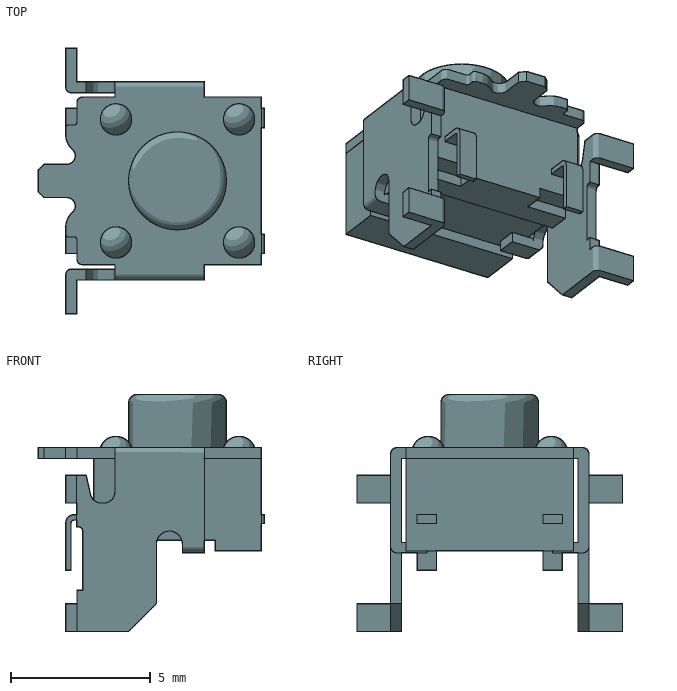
import cadquery as cq
import math


HOUSING_SIZE = 6.0
HOUSING_HEIGHT = 3.3
HALF_HOUSING = HOUSING_SIZE / 2

CHANNEL_HEIGHT = 0.38
CHANNEL_HALF_LENGTH = 1.34
CORNER_NOTCH_DEPTH = 0.8
CORNER_NOTCH_START_Y = 1.42

BUTTON_DIAMETER = 3.5
BUTTON_TOP = 5.6
BUTTON_ROUNDING = 0.3
RIVET_DIAMETER = 1.12
RIVET_HEAD_HEIGHT = 0.4
RIVET_SPACING = 4.4

TERMINAL_WIDTH = 0.7
TERMINAL_THICKNESS = 0.2
TERMINAL_CENTER_Y = 2.25
TERMINAL_TOP = 1.3
TERMINAL_TIP = -0.69
TERMINAL_BEND_RADIUS = 0.3
STUB_LENGTH = 0.1
STUB_HEIGHT = 0.32

SHEET = 0.4
PLATE_TOP = HOUSING_HEIGHT + SHEET
FRONT_X = -4.0

TAB_TIP_X = -4.98
TAB_HALF_WIDTH = 0.6
TAB_CHAMFER = 0.21
RELIEF_RADIUS = 0.3
RELIEF_CENTER_X = -3.96
WING_RADIUS = 0.7
WING_SIDE_Y = 2.0
WING_CORNER_RADIUS = 0.1
PLATE_EDGE_X = -3.6
PLATE_CORNER_RADIUS = 0.2

LEG_INNER_Y = 3.15
LEG_OUTER_Y = LEG_INNER_Y + SHEET
FLANGE_START_X = -2.24
FLANGE_END_X = 0.96
BEND_RADIUS = 0.24

LEG_BOTTOM = -2.88
LEG_FRONT_X = -3.395
UPPER_PAD_X = -3.61
LOWER_PAD_X = FRONT_X + SHEET
UPPER_PAD_BOTTOM = 0.86
UPPER_PAD_FILLET = 0.15
LOWER_PAD_TOP = -1.4
FOOT_HEIGHT = 1.0
UPPER_FOOT_TOP = 2.71
FOOT_TIP_Y = 4.75
FOOT_BEND_RADIUS = SHEET / 2

SLOT_TOP_X = -3.265
SLOT_BOTTOM_X = -3.034
SLOT_BOTTOM = UPPER_FOOT_TOP - FOOT_HEIGHT
SLOT_RADIUS = 0.4

LEG_REAR_X = -0.75
LEG_CHAMFER = 1.0
ARCH_RADIUS = 0.46
ARCH_CENTER_Z = 0.25

TONGUE_BOTTOM = -0.07
TONGUE_THICKNESS = 0.38
TONGUE_END_Y = TERMINAL_CENTER_Y


def box(x_range, y_range, z_range):
    """Box between two limits along each axis."""
    sizes = [high - low for low, high in (x_range, y_range, z_range)]
    return cq.Workplane("XY").box(*sizes, centered=False).translate((x_range[0], y_range[0], z_range[0]))


def both_sides(half):
    """Join a +Y half with its mirror image."""
    return half.union(half.mirror("XZ"))


def bracket_plate():
    """+Y half of the top plate, widened to the leg along the flange."""
    shoulder_center_x = FRONT_X + WING_RADIUS
    relief_center_y = TAB_HALF_WIDTH + RELIEF_RADIUS
    center_distance = RELIEF_RADIUS + WING_RADIUS
    tangent_angle = math.acos((shoulder_center_x - RELIEF_CENTER_X) / center_distance)
    tangent_x = RELIEF_CENTER_X + RELIEF_RADIUS * math.cos(tangent_angle)
    tangent_y = relief_center_y + RELIEF_RADIUS * math.sin(tangent_angle)
    shoulder_y = relief_center_y + center_distance * math.sin(tangent_angle)
    plate = (
        cq.Workplane("XY", origin=(0, 0, HOUSING_HEIGHT))
        .moveTo(HALF_HOUSING, 0)
        .lineTo(TAB_TIP_X, 0)
        .lineTo(TAB_TIP_X, TAB_HALF_WIDTH - TAB_CHAMFER)
        .lineTo(TAB_TIP_X + TAB_CHAMFER, TAB_HALF_WIDTH)
        .lineTo(RELIEF_CENTER_X, TAB_HALF_WIDTH)
        .tangentArcPoint((tangent_x, tangent_y), relative=False)
        .tangentArcPoint((FRONT_X, shoulder_y), relative=False)
        .lineTo(FRONT_X, WING_SIDE_Y)
        .lineTo(PLATE_EDGE_X, WING_SIDE_Y)
        .lineTo(PLATE_EDGE_X, HALF_HOUSING)
        .lineTo(FLANGE_START_X, HALF_HOUSING)
        .lineTo(FLANGE_START_X, LEG_OUTER_Y)
        .lineTo(FLANGE_END_X, LEG_OUTER_Y)
        .lineTo(FLANGE_END_X, HALF_HOUSING)
        .lineTo(HALF_HOUSING, HALF_HOUSING)
        .close()
        .extrude(SHEET)
    )
    for corner_x in (FRONT_X, PLATE_EDGE_X):
        wing_corner = cq.selectors.NearestToPointSelector((corner_x, WING_SIDE_Y, PLATE_TOP - SHEET / 2))
        plate = plate.edges(wing_corner).fillet(WING_CORNER_RADIUS)
    plate_corner = cq.selectors.NearestToPointSelector((PLATE_EDGE_X, HALF_HOUSING, PLATE_TOP - SHEET / 2))
    return plate.edges(plate_corner).fillet(PLATE_CORNER_RADIUS)


def bracket_leg():
    """+Y side leg as a flat sheet, before the feet and the tongue are added."""
    arch_end_x = LEG_REAR_X + 2 * ARCH_RADIUS
    leg = (
        cq.Workplane("XZ", origin=(0, LEG_OUTER_Y, 0))
        .moveTo(FLANGE_START_X, PLATE_TOP)
        .lineTo(FLANGE_START_X, SLOT_BOTTOM)
        .lineTo(SLOT_BOTTOM_X, SLOT_BOTTOM)
        .lineTo(SLOT_TOP_X, UPPER_FOOT_TOP)
        .lineTo(UPPER_PAD_X, UPPER_FOOT_TOP)
        .lineTo(UPPER_PAD_X, UPPER_PAD_BOTTOM)
        .lineTo(LEG_FRONT_X, UPPER_PAD_BOTTOM)
        .lineTo(LEG_FRONT_X, LOWER_PAD_TOP)
        .lineTo(LOWER_PAD_X, LOWER_PAD_TOP)
        .lineTo(LOWER_PAD_X, LEG_BOTTOM)
        .lineTo(LEG_REAR_X - LEG_CHAMFER, LEG_BOTTOM)
        .lineTo(LEG_REAR_X, LEG_BOTTOM + LEG_CHAMFER)
        .lineTo(LEG_REAR_X, ARCH_CENTER_Z)
        .threePointArc((LEG_REAR_X + ARCH_RADIUS, ARCH_CENTER_Z + ARCH_RADIUS), (arch_end_x, ARCH_CENTER_Z))
        .lineTo(arch_end_x, TONGUE_BOTTOM)
        .lineTo(FLANGE_END_X, TONGUE_BOTTOM)
        .lineTo(FLANGE_END_X, PLATE_TOP)
        .close()
        .extrude(SHEET)
    )
    leg_middle_y = LEG_OUTER_Y - SHEET / 2
    for corner_x in (FLANGE_START_X, SLOT_BOTTOM_X):
        slot_corner = cq.selectors.NearestToPointSelector((corner_x, leg_middle_y, SLOT_BOTTOM))
        leg = leg.edges(slot_corner).fillet(SLOT_RADIUS)
    pad_corner = cq.selectors.NearestToPointSelector((LEG_FRONT_X, leg_middle_y, UPPER_PAD_BOTTOM))
    return leg.edges(pad_corner).fillet(UPPER_PAD_FILLET)


def bracket_tongue():
    """Lip bent inward under the housing at the foot of the flange."""
    return box(
        (LEG_REAR_X + 2 * ARCH_RADIUS, FLANGE_END_X),
        (TONGUE_END_Y, LEG_OUTER_Y),
        (TONGUE_BOTTOM, TONGUE_BOTTOM + TONGUE_THICKNESS),
    )


def solder_foot(back_x, top):
    """Foot bent outward from the leg, rounded on the outside of its bend."""
    foot = box((FRONT_X, back_x), (LEG_INNER_Y, FOOT_TIP_Y), (top - FOOT_HEIGHT, top))
    return foot.edges("|Z and <X and <Y").fillet(FOOT_BEND_RADIUS)


def make_bracket():
    half = bracket_plate().union(bracket_leg()).union(bracket_tongue())
    flange_middle_x = (FLANGE_START_X + FLANGE_END_X) / 2
    tongue_middle_x = (LEG_REAR_X + 2 * ARCH_RADIUS + FLANGE_END_X) / 2
    for bend_x, bend_z in ((flange_middle_x, PLATE_TOP), (tongue_middle_x, TONGUE_BOTTOM)):
        bend_edge = cq.selectors.NearestToPointSelector((bend_x, LEG_OUTER_Y, bend_z))
        half = half.edges(bend_edge).fillet(BEND_RADIUS)
    half = half.union(solder_foot(UPPER_PAD_X, UPPER_FOOT_TOP))
    half = half.union(solder_foot(LOWER_PAD_X, LEG_BOTTOM + FOOT_HEIGHT))
    plate_plane = cq.Workplane("XY", origin=(0, 0, HOUSING_HEIGHT))
    button_hole = plate_plane.circle(BUTTON_DIAMETER / 2).extrude(SHEET)
    rivet_holes = (
        plate_plane.rect(RIVET_SPACING, RIVET_SPACING, forConstruction=True)
        .vertices()
        .circle(RIVET_DIAMETER / 2)
        .extrude(SHEET)
    )
    return both_sides(half).cut(button_hole).cut(rivet_holes)


def housing_block():
    """Square block with the underside channel and the two -X corner notches."""
    y_span = (-HALF_HOUSING, HALF_HOUSING)
    block = box((-HALF_HOUSING, HALF_HOUSING), y_span, (0, HOUSING_HEIGHT))
    channel = box((-CHANNEL_HALF_LENGTH, CHANNEL_HALF_LENGTH), y_span, (0, CHANNEL_HEIGHT))
    corner_notch = box(
        (-HALF_HOUSING, -HALF_HOUSING + CORNER_NOTCH_DEPTH),
        (CORNER_NOTCH_START_Y, HALF_HOUSING),
        (0, CHANNEL_HEIGHT),
    )
    return block.cut(channel).cut(both_sides(corner_notch))


def button():
    return (
        cq.Workplane("XY", origin=(0, 0, HOUSING_HEIGHT))
        .circle(BUTTON_DIAMETER / 2)
        .extrude(BUTTON_TOP - HOUSING_HEIGHT)
        .faces(">Z")
        .edges()
        .fillet(BUTTON_ROUNDING)
    )


def rivet():
    """Plastic rivet through the plate, ending in a spherical-cap head."""
    radius = RIVET_DIAMETER / 2
    sphere_radius = (radius**2 + RIVET_HEAD_HEIGHT**2) / (2 * RIVET_HEAD_HEIGHT)
    half_angle = math.asin(radius / sphere_radius) / 2
    sphere_center_z = PLATE_TOP + RIVET_HEAD_HEIGHT - sphere_radius
    arc_middle = (sphere_radius * math.sin(half_angle), sphere_center_z + sphere_radius * math.cos(half_angle))
    return (
        cq.Workplane("XZ")
        .moveTo(0, HOUSING_HEIGHT)
        .lineTo(radius, HOUSING_HEIGHT)
        .lineTo(radius, PLATE_TOP)
        .threePointArc(arc_middle, (0, PLATE_TOP + RIVET_HEAD_HEIGHT))
        .close()
        .revolve(360, (0, 0, 0), (0, 1, 0))
    )


def terminal():
    """+Y terminal: a bent lead on the -X face and its cut-off stub on the +X face."""
    y_span = (TERMINAL_CENTER_Y - TERMINAL_WIDTH / 2, TERMINAL_CENTER_Y + TERMINAL_WIDTH / 2)
    lead = box((FRONT_X, -HALF_HOUSING), y_span, (TERMINAL_TIP, TERMINAL_TOP))
    lead = lead.edges("|Y and <X and >Z").fillet(TERMINAL_BEND_RADIUS)
    underside = box(
        (FRONT_X + TERMINAL_THICKNESS, -HALF_HOUSING),
        y_span,
        (TERMINAL_TIP, TERMINAL_TOP - TERMINAL_THICKNESS),
    )
    underside = underside.edges("|Y and <X and >Z").fillet(TERMINAL_BEND_RADIUS - TERMINAL_THICKNESS)
    stub = box((HALF_HOUSING, HALF_HOUSING + STUB_LENGTH), y_span, (TERMINAL_TOP - STUB_HEIGHT, TERMINAL_TOP))
    return lead.cut(underside), stub


def make_housing():
    body = housing_block().union(button())
    rivet_offset = RIVET_SPACING / 2
    for x in (-rivet_offset, rivet_offset):
        for y in (-rivet_offset, rivet_offset):
            body = body.union(rivet().translate((x, y, 0)))
    for piece in terminal():
        body = body.union(piece).union(piece.mirror("XZ"))
    return body


bracket = make_bracket()
housing = make_housing()
result = cq.Compound.makeCompound([bracket.val(), housing.val()])